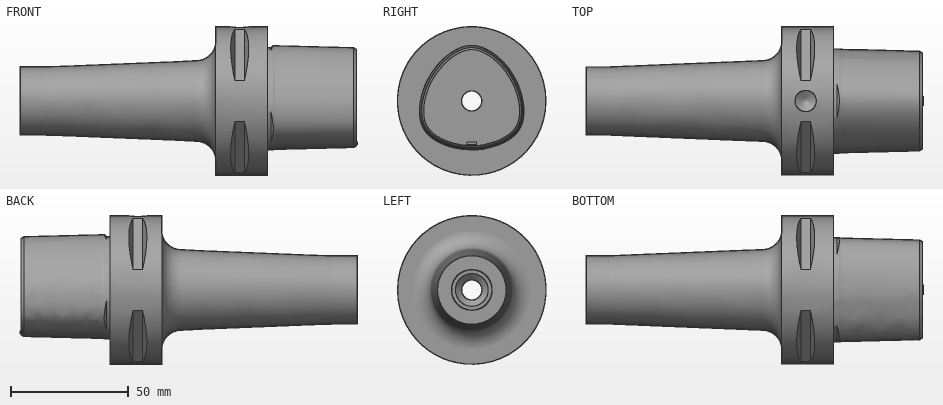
import cadquery as cq
import math

total_length = 143
nose_dia = 29.0
nose_length = 10
neck_end_x = 75.1
neck_end_dia = 34.3
flare_dia = 49.6

flange_start_x = 83
flange_width = 22.0
flange_dia = 63.0
flange_end_x = flange_start_x + flange_width
flange_mid_x = flange_start_x + 10.2
slot_floor_radius = 27.6
slot_floor_width = 4.0
slot_length = 30.6
slot_flank_angle = 25
index_hole_dia = 9.0
index_hole_depth = 7.2
index_cone_angle = 118

shank_radius = 22.2
lobe_height = 1.5
straight_end_x = 107.2
taper_start_x = 108.1
taper_start_inset = 0.1
taper_slope = 0.025
pip_height = 0.3
shank_end_x = total_length - pip_height
end_bevel_length = 1.3
end_bevel_inset = 0.9
pip_width = 4.0
pip_thickness = 1.0
pip_centre_z = -17.9

relief_dia = 45.3
relief_width = 1.5
relief_slope_width = 1.0

mouth_dia = 17.0
mouth_depth = 7.2
undercut_dia = 17.5
undercut_end_x = 8.6
pilot_dia = 13.9
pilot_end_x = 31.5
through_dia = 8.5
pilot_cone_length = (pilot_dia - through_dia) / 2

clearance = 2.9


def revolve_about_x(profile):
    return profile.close().revolve(360, (0, 0, 0), (1, 0, 0))


def make_front_body():
    profile = (
        cq.Workplane("XY")
        .lineTo(0, nose_dia / 2)
        .lineTo(nose_length, nose_dia / 2)
        .lineTo(neck_end_x, neck_end_dia / 2)
        .tangentArcPoint((flange_start_x, flare_dia / 2), relative=False)
        .lineTo(flange_start_x, flange_dia / 2)
        .lineTo(flange_end_x, flange_dia / 2)
        .lineTo(flange_end_x, 0)
    )
    return revolve_about_x(profile)


def lobed_section(x, inset):
    """Closed three-lobed wire at x, shrunk evenly by inset."""

    def point(angle):
        reach = shank_radius - inset + lobe_height * math.cos(3 * angle)
        slope = -3 * lobe_height * math.sin(3 * angle)
        y = reach * math.sin(angle) + slope * math.cos(angle)
        z = reach * math.cos(angle) - slope * math.sin(angle)
        return cq.Vector(x, y, z)

    segments = 12
    edges = []
    for start_angle in (-60, 60, 180):
        angles = [math.radians(start_angle + 120 * i / segments) for i in range(segments + 1)]
        tangents = [cq.Vector(0, math.cos(a), -math.sin(a)) for a in (angles[0], angles[-1])]
        edges.append(cq.Edge.makeSpline([point(a) for a in angles], tangents=tangents))
    return cq.Wire.assembleEdges(edges)


def make_shank():
    bevel_start_x = shank_end_x - end_bevel_length
    taper_end_inset = taper_start_inset + taper_slope * (bevel_start_x - taper_start_x)
    stations = [
        (flange_end_x - clearance, 0),
        (straight_end_x, 0),
        (taper_start_x, taper_start_inset),
        (bevel_start_x, taper_end_inset),
        (shank_end_x, taper_end_inset + end_bevel_inset),
    ]
    sections = [lobed_section(x, inset) for x, inset in stations]
    return cq.Workplane(cq.Solid.makeLoft(sections, True))


def make_lobe_relief():
    outer_radius = shank_radius + lobe_height + clearance
    relief_end_x = flange_end_x + relief_width
    slope_end_x = relief_end_x + relief_slope_width
    profile = (
        cq.Workplane("XY")
        .moveTo(flange_end_x, relief_dia / 2)
        .lineTo(relief_end_x, relief_dia / 2)
        .lineTo(slope_end_x, shank_radius + lobe_height)
        .lineTo(slope_end_x, outer_radius)
        .lineTo(flange_end_x, outer_radius)
    )
    return revolve_about_x(profile)


def make_end_pip():
    length = pip_height + clearance
    return cq.Workplane("XY").box(length, pip_width, pip_thickness).translate(
        (total_length - length / 2, 0, pip_centre_z)
    )


def make_gripper_slot():
    height = flange_dia / 2 - slot_floor_radius + clearance
    half_floor = slot_floor_width / 2
    half_top = half_floor + height * math.tan(math.radians(slot_flank_angle))
    return (
        cq.Workplane("XZ")
        .polyline([(-half_floor, 0), (half_floor, 0), (half_top, height), (-half_top, height)])
        .close()
        .extrude(slot_length / 2, both=True)
        .translate((flange_mid_x, 0, slot_floor_radius))
    )


def make_index_hole():
    radius = index_hole_dia / 2
    cone_depth = radius / math.tan(math.radians(index_cone_angle / 2))
    return (
        cq.Workplane("XZ")
        .moveTo(0, clearance)
        .lineTo(radius, clearance)
        .lineTo(radius, -index_hole_depth)
        .lineTo(0, -index_hole_depth - cone_depth)
        .close()
        .revolve(360, (0, 0, 0), (0, 1, 0))
        .translate((flange_mid_x, 0, flange_dia / 2))
    )


def make_bore():
    profile = (
        cq.Workplane("XY")
        .lineTo(0, mouth_dia / 2)
        .lineTo(mouth_depth, mouth_dia / 2)
        .lineTo(mouth_depth, undercut_dia / 2)
        .lineTo(undercut_end_x, undercut_dia / 2)
        .lineTo(undercut_end_x, pilot_dia / 2)
        .lineTo(pilot_end_x, pilot_dia / 2)
        .lineTo(pilot_end_x + pilot_cone_length, through_dia / 2)
        .lineTo(total_length + clearance, through_dia / 2)
        .lineTo(total_length + clearance, 0)
    )
    return revolve_about_x(profile)


shank = make_shank().cut(make_lobe_relief()).union(make_end_pip())
result = make_front_body().union(shank)
for slot_angle in (45, 135, 225, 315):
    result = result.cut(make_gripper_slot().rotate((0, 0, 0), (1, 0, 0), slot_angle))
result = result.cut(make_index_hole()).cut(make_bore())